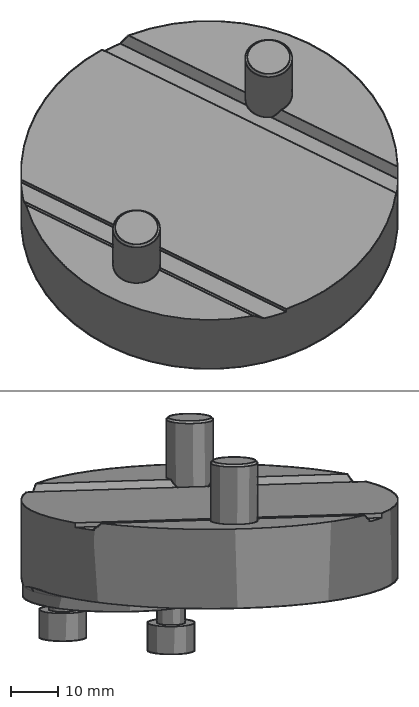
import cadquery as cq
import math

disk_diameter = 80
center_land_height = 16.4
outer_land_height = 17.1

groove_floor_height = 15.4
groove_floor_width = 4
back_groove_start = 16.1
front_groove_start = 22.6

pin_diameter = 10.0
pin_top = 30.0
pin_bottom = groove_floor_height / 2
pin_chamfer = 0.5
back_pin_y = 24
front_pin_y = -29.5

boss_diameter = 40
boss_height = 3.6
rim_gap = 0.02
boss_x = (boss_diameter - disk_diameter) / 2 + rim_gap
boss_fillet = 1.0

bolt_circle_diameter = 28
bolt_angles = (135, 315)
neck_diameter = 6.0
neck_length = 4.4
head_diameter = 10.0
head_height = 6.0


def cylinder(x, y, bottom, top, diameter):
    """Upright cylinder between two heights."""
    return cq.Workplane("XY", origin=(x, y, bottom)).circle(diameter / 2).extrude(top - bottom)


def make_disk():
    """Disk whose top follows a stepped profile that runs along X."""
    radius = disk_diameter / 2
    wall_run = outer_land_height - groove_floor_height
    back_floor_end = back_groove_start + groove_floor_width
    front_floor_end = front_groove_start + groove_floor_width
    profile = [
        (-radius, 0),
        (radius, 0),
        (radius, outer_land_height),
        (back_floor_end + wall_run, outer_land_height),
        (back_floor_end, groove_floor_height),
        (back_groove_start, groove_floor_height),
        (back_groove_start, center_land_height),
        (-front_groove_start, center_land_height),
        (-front_groove_start, groove_floor_height),
        (-front_floor_end, groove_floor_height),
        (-front_floor_end - wall_run, outer_land_height),
        (-radius, outer_land_height),
    ]
    bar = cq.Workplane("YZ").polyline(profile).close().extrude(radius, both=True)
    return bar.intersect(cylinder(0, 0, 0, outer_land_height, disk_diameter))


def make_pin(y):
    """Pin standing on the disk, with a chamfered top edge."""
    pin = cylinder(0, y, pin_bottom, pin_top, pin_diameter)
    return pin.faces(">Z").chamfer(pin_chamfer)


def make_boss():
    """Boss with a fillet where it meets the disk, trimmed to the disk rim."""
    radius = boss_diameter / 2
    half_section = (
        cq.Workplane("XZ")
        .lineTo(radius + boss_fillet, 0)
        .radiusArc((radius, -boss_fillet), -boss_fillet)
        .lineTo(radius, -boss_height)
        .lineTo(0, -boss_height)
        .close()
    )
    boss = half_section.revolve(360, (0, 0), (0, 1)).translate((boss_x, 0, 0))
    return boss.intersect(cylinder(0, 0, -boss_height, 0, disk_diameter))


def make_bolt(angle):
    """Neck hanging from the boss with a wider head at its lower end."""
    reach = bolt_circle_diameter / 2
    x = boss_x + reach * math.cos(math.radians(angle))
    y = reach * math.sin(math.radians(angle))
    head_top = -boss_height - neck_length
    neck = cylinder(x, y, head_top, 0, neck_diameter)
    head = cylinder(x, y, head_top - head_height, head_top, head_diameter)
    return neck.union(head)


result = make_disk().union(make_boss())
for pin_y in (back_pin_y, front_pin_y):
    result = result.union(make_pin(pin_y))
for bolt_angle in bolt_angles:
    result = result.union(make_bolt(bolt_angle))